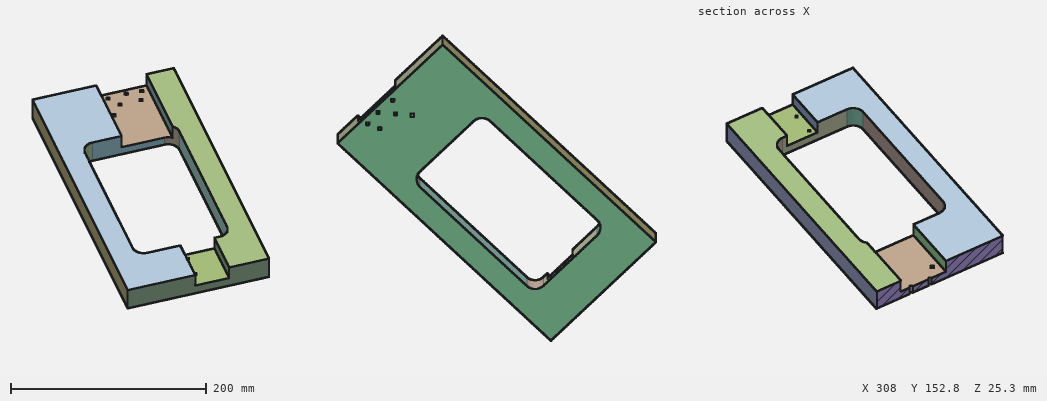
import cadquery as cq

LENGTH = 308.0
WIDTH = 152.8
HEIGHT = 25.3

WINDOW_LEFT = 82.0
WINDOW_RIGHT = 260.0
WINDOW_DEPTH = 102.0
WINDOW_BORDER = (WIDTH - WINDOW_DEPTH) / 2
WINDOW_RADIUS = 12.0

LEFT_CHANNEL_FRONT = 69.0
LEFT_CHANNEL_BACK = 123.2
LEFT_FLOOR = 10.0
RIGHT_CHANNEL_FRONT = 73.0
RIGHT_CHANNEL_BACK = 109.7
RIGHT_FLOOR = 10.8

LEFT_HOLE_DIAMETER = 3.5
MIDDLE_HOLE_X = 5.5
OUTER_PAIR_CENTER_Y = 97.7
MIDDLE_HOLE_Y = 99.5
OUTER_HOLE_X = 6.8
OUTER_HOLE_OFFSET = 18.2
INNER_HOLE_X = 19.5
INNER_HOLE_OFFSET = 11.5
LARGE_HOLE_DIAMETER = 4.0
LARGE_HOLE = (32.7, 77.0)

RIGHT_HOLE_DIAMETER = 2.5
RIGHT_HOLES_X = (266.5, 291.2)
RIGHT_HOLES_Y = 79.0
RIGHT_HOLE_DEPTH = 6.2


def block(x_range, y_range, z_range):
    """Box spanning the given (low, high) limits along each axis."""
    sizes = [high - low for low, high in (x_range, y_range, z_range)]
    corner = (x_range[0], y_range[0], z_range[0])
    return cq.Workplane("XY").box(*sizes, centered=False).translate(corner)


def hole_cutters(points, diameter, bottom=0):
    """Vertical cylinders from the bottom height up to the top of the plate."""
    plane = cq.Workplane("XY").workplane(offset=bottom)
    return plane.pushPoints(points).circle(diameter / 2).extrude(HEIGHT - bottom)


plate = block((0, LENGTH), (0, WIDTH), (0, HEIGHT))

window = block(
    (WINDOW_LEFT, WINDOW_RIGHT), (WINDOW_BORDER, WIDTH - WINDOW_BORDER), (0, HEIGHT)
).edges("|Z").fillet(WINDOW_RADIUS)

left_channel = block(
    (0, WINDOW_LEFT + WINDOW_RADIUS), (LEFT_CHANNEL_FRONT, LEFT_CHANNEL_BACK), (LEFT_FLOOR, HEIGHT)
)
right_channel = block(
    (WINDOW_RIGHT - WINDOW_RADIUS, LENGTH),
    (RIGHT_CHANNEL_FRONT, RIGHT_CHANNEL_BACK),
    (RIGHT_FLOOR, HEIGHT),
)

left_holes = [(MIDDLE_HOLE_X, MIDDLE_HOLE_Y)]
for side in (-1, 1):
    left_holes.append((OUTER_HOLE_X, OUTER_PAIR_CENTER_Y + side * OUTER_HOLE_OFFSET))
    left_holes.append((INNER_HOLE_X, MIDDLE_HOLE_Y + side * INNER_HOLE_OFFSET))
right_holes = [(x, RIGHT_HOLES_Y) for x in RIGHT_HOLES_X]

result = (
    plate.cut(window)
    .cut(left_channel)
    .cut(right_channel)
    .cut(hole_cutters(left_holes, LEFT_HOLE_DIAMETER))
    .cut(hole_cutters([LARGE_HOLE], LARGE_HOLE_DIAMETER))
    .cut(hole_cutters(right_holes, RIGHT_HOLE_DIAMETER, RIGHT_FLOOR - RIGHT_HOLE_DEPTH))
)